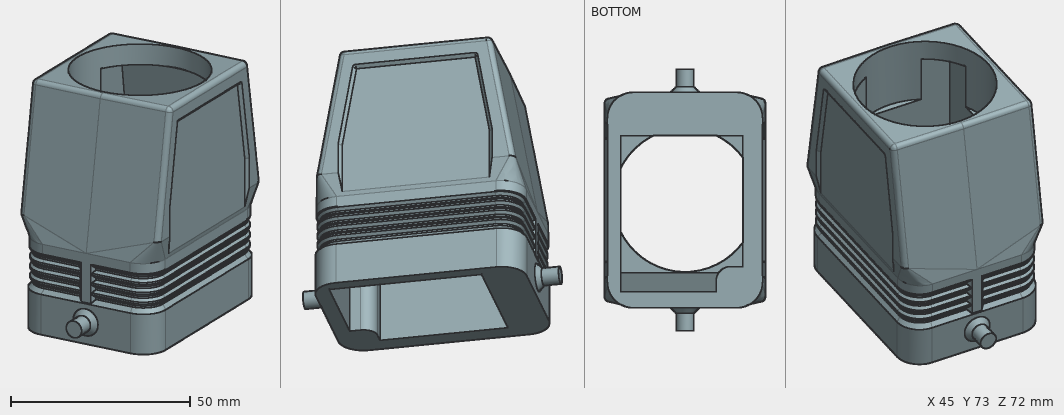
import cadquery as cq

top_z = 72.0
base_top = 12.05
band_top = 23.95
neck_top = 27.1
hood_bottom = 33.9

base_half = (21.6, 30.1)
neck_half = (21.3, 29.85)
ridge_half = (21.3, 29.65)
body_corner = 7.15
hood_half_x = 22.5
hood_edge_radius = 1.5
shoulder_x = hood_half_x - hood_edge_radius

crest_half_top = 21.9
crest_rise = 0.3
crest_slope = (neck_half[1] - crest_half_top) / (top_z - neck_top)

groove_count = 4
groove_pitch = 2.9
first_groove_z = 13.7
groove_depth = 0.8
groove_floor_half = 0.3
groove_mouth_half = 1.2
rib_half_width = 1.5
rib_root_half_width = 2.6
rib_depth = neck_half[1] - ridge_half[1] + groove_depth

panel_floor_x = 21.5
panel_bottom = 27.75
panel_knee_z = 42.7
panel_top = 66.1
panel_half_bottom = 21.0
panel_half_top = 16.9
panel_tool_height = 2.9
panel_wall_angle = 45

pin_z = 6.5
pin_radius = 2.5
pin_end = 36.5
collar_end = 31.6
collar_radius = pin_radius + collar_end - base_half[1]
pin_root = 27.75

bore_radius = 20.0
bore_floor = 52.0
lid_underside = 65.85
cavity_left = -17.9
cavity_right = 16.1
cavity_front = -17.95
cavity_back_top = 20.3
cavity_back_bottom = 25.55
post_front = 18.55
post_radius = 4.0
post_left = 8.7


def rounded_outline(half, radius):
    """Rounded rectangle centred on the origin."""
    return cq.Sketch().rect(2 * half[0], 2 * half[1]).vertices().fillet(radius)


def prism(half, radius, bottom, top):
    outline = rounded_outline(half, radius)
    return cq.Workplane().workplane(offset=bottom).placeSketch(outline).extrude(top - bottom)


def ruled_body(sections):
    """Straight-sided body through (z, half sizes, corner radius) sections."""
    outlines = [
        rounded_outline(half, radius).moved(cq.Location(cq.Vector(0, 0, z)))
        for z, half, radius in sections
    ]
    return cq.Workplane().placeSketch(*outlines).loft(ruled=True)


def grip_band():
    def section(z, inset):
        half = (ridge_half[0] - inset, ridge_half[1] - inset)
        return z, half, body_corner - inset

    sections = [(base_top, base_half, body_corner)]
    for i in range(groove_count):
        z = first_groove_z + i * groove_pitch
        if i > 0:
            sections.append(section(z - groove_mouth_half, 0))
        sections.append(section(z - groove_floor_half, groove_depth))
        sections.append(section(z + groove_floor_half, groove_depth))
        sections.append(section(z + groove_mouth_half, 0))
    sections.append(section(band_top, 0))
    return ruled_body(sections)


def end_ribs():
    """Upright ribs with flared flanks, flush with the neck."""
    face_y = neck_half[1]
    root_y = face_y - rib_depth
    outline = [
        (-rib_half_width, face_y),
        (rib_half_width, face_y),
        (rib_root_half_width, root_y),
        (-rib_root_half_width, root_y),
    ]
    rib = cq.Workplane().workplane(offset=base_top).polyline(outline).close().extrude(band_top - base_top)
    return rib.union(rib.mirror("XZ"))


def crested_outline(z):
    """Six-sided hood outline at height z."""
    crest = crest_half_top + crest_slope * (top_z - z)
    corner = crest - crest_rise
    w = hood_half_x
    return [(0, crest), (w, corner), (w, -corner), (0, -crest), (-w, -corner), (-w, corner)]


def hood():
    shell = (
        cq.Workplane().workplane(offset=neck_top).polyline(crested_outline(neck_top)).close()
        .workplane(offset=top_z - neck_top).polyline(crested_outline(top_z)).close()
        .loft(ruled=True)
    )
    top_edges = shell.edges(">Z")
    side_edges = shell.faces("<X or >X").edges("not #Z")
    shell = shell.newObject(top_edges.add(side_edges).vals()).fillet(hood_edge_radius)
    keep = (
        cq.Workplane("XZ")
        .polyline([
            (0, neck_top),
            (shoulder_x, hood_bottom),
            (hood_half_x, hood_bottom),
            (hood_half_x, top_z),
            (-hood_half_x, top_z),
            (-hood_half_x, hood_bottom),
            (-shoulder_x, hood_bottom),
        ])
        .close().extrude(neck_half[1], both=True)
    )
    return shell.intersect(keep)


def flare():
    """Transition from the rounded neck to the sharper hood corners."""
    crest = crest_half_top + crest_slope * (top_z - hood_bottom)
    hood_half_y = crest - crest_rise * shoulder_x / hood_half_x
    return ruled_body([
        (neck_top, neck_half, body_corner),
        (hood_bottom, (hood_half_x, hood_half_y), hood_edge_radius),
    ])


def side_panels():
    outline = [
        (-panel_half_bottom, panel_bottom),
        (panel_half_bottom, panel_bottom),
        (panel_half_bottom, panel_knee_z),
        (panel_half_top, panel_top),
        (-panel_half_top, panel_top),
        (-panel_half_bottom, panel_knee_z),
    ]
    panel = (
        cq.Workplane("YZ", origin=(panel_floor_x, 0, 0))
        .polyline(outline).close().extrude(panel_tool_height, taper=-panel_wall_angle)
    )
    return panel.union(panel.mirror("YZ"))


def locking_pins():
    half_profile = [
        (0, pin_root),
        (collar_radius, pin_root),
        (collar_radius, base_half[1]),
        (pin_radius, collar_end),
        (pin_radius, pin_end),
        (0, pin_end),
    ]
    pin = cq.Workplane().polyline(half_profile).close().revolve(360, (0, 0, 0), (0, 1, 0))
    pin = pin.translate((0, 0, pin_z))
    return pin.union(pin.mirror("XZ"))


def cavity():
    side_profile = [
        (cavity_front, 0),
        (cavity_back_bottom, 0),
        (cavity_back_bottom, neck_top),
        (cavity_back_top, lid_underside),
        (cavity_front, lid_underside),
    ]
    room = (
        cq.Workplane("YZ", origin=(cavity_left, 0, 0))
        .polyline(side_profile).close().extrude(cavity_right - cavity_left)
    )
    post = (
        cq.Workplane()
        .moveTo(post_left, cavity_back_bottom)
        .lineTo(post_left, post_front + post_radius)
        .radiusArc((post_left + post_radius, post_front), -post_radius)
        .lineTo(cavity_right, post_front)
        .lineTo(cavity_right, cavity_back_bottom)
        .close().extrude(lid_underside)
    )
    bore = cq.Workplane().workplane(offset=bore_floor).circle(bore_radius).extrude(top_z - bore_floor)
    return room.cut(post).union(bore)


result = (
    prism(base_half, body_corner, 0, base_top)
    .union(grip_band())
    .union(end_ribs())
    .union(prism(neck_half, body_corner, band_top, neck_top))
    .union(flare())
    .union(hood())
    .union(locking_pins())
    .cut(side_panels())
    .cut(cavity())
)